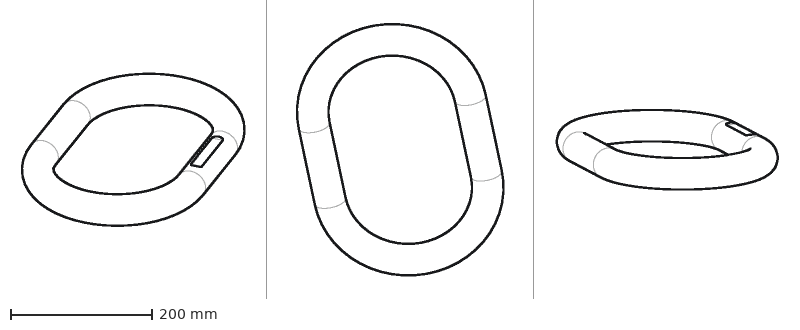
import cadquery as cq
import math

length = 390.0
bar_diameter = 45.0
width = 6 * bar_diameter

bar_radius = bar_diameter / 2
bend_radius = (width - bar_diameter) / 2
half_straight = (length - width) / 2

flat_width = 16.8
recess_length = 88.0
end_radius = 7.8

flat_height = math.sqrt(bar_radius**2 - (flat_width / 2) ** 2)
flat_depth = bar_radius - flat_height
end_run = math.sqrt(end_radius**2 - (end_radius - flat_depth) ** 2)
half_flat = recess_length / 2 - end_run


def make_link():
    """Sweep the round bar section along the closed oval centreline."""
    centreline = (
        cq.Workplane("XY")
        .moveTo(bend_radius, 0)
        .lineTo(bend_radius, half_straight)
        .threePointArc((0, half_straight + bend_radius), (-bend_radius, half_straight))
        .lineTo(-bend_radius, -half_straight)
        .threePointArc((0, -half_straight - bend_radius), (bend_radius, -half_straight))
        .close()
    )
    section = cq.Workplane("XZ", origin=(bend_radius, 0, 0)).circle(bar_radius)
    return section.sweep(centreline)


def make_flat_cutter():
    """Flat-bottomed cutter whose ends curve up to the crown of the bar."""
    half_length = half_flat + end_run
    mid_angle = math.asin(end_run / end_radius) / 2
    mid_y = half_flat + end_radius * math.sin(mid_angle)
    mid_z = flat_height + end_radius * (1 - math.cos(mid_angle))
    return (
        cq.Workplane("YZ", origin=(bend_radius, 0, 0))
        .moveTo(-half_flat, flat_height)
        .lineTo(half_flat, flat_height)
        .threePointArc((mid_y, mid_z), (half_length, bar_radius))
        .lineTo(half_length, bar_diameter)
        .lineTo(-half_length, bar_diameter)
        .lineTo(-half_length, bar_radius)
        .threePointArc((-mid_y, mid_z), (-half_flat, flat_height))
        .close()
        .extrude(bar_radius, both=True)
    )


result = make_link().cut(make_flat_cutter())